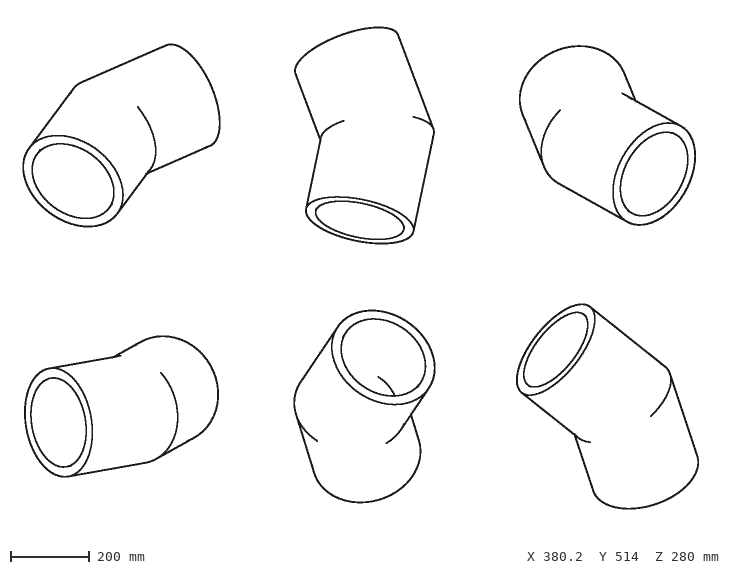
import cadquery as cq
import math

outer_diameter = 280.0
wall_thickness = 25.4
bend_angle = math.radians(30.0)
overall_length_y = 514.0

outer_radius = outer_diameter / 2
inner_radius = outer_radius - wall_thickness

end_face_overhang = outer_radius * math.sin(bend_angle)
leg_length = (overall_length_y - end_face_overhang) / (1 + math.cos(bend_angle))


def mitred_rod(radius):
    """Solid round rod following both legs, with a sharp mitre at the origin."""
    start = (0, -leg_length)
    mitre = (0, 0)
    end = (leg_length * math.sin(bend_angle), leg_length * math.cos(bend_angle))
    centreline = cq.Workplane("XY").polyline([start, mitre, end])
    start_face = cq.Workplane("XZ", origin=(0, -leg_length, 0)).circle(radius)
    return start_face.sweep(centreline, transition="right")


result = mitred_rod(outer_radius).cut(mitred_rod(inner_radius))